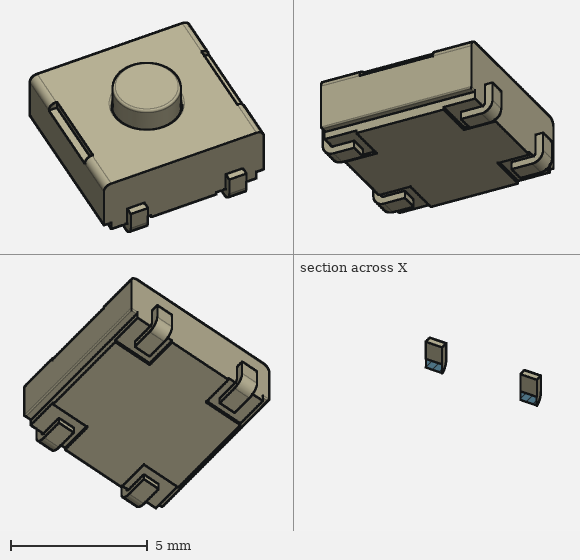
import cadquery as cq

TOTAL_X = 7.0
TOTAL_Y = 6.5
TOTAL_Z = 3.6
SHEET = 0.3

BODY_X = 6.2
BODY_Y = TOTAL_Y - 2 * SHEET
BODY_BOTTOM = 0.195
COVER_TOP = 2.7
COVER_BOTTOM = 0.6
BEND_RADIUS = SHEET
COVER_EDGE_RADIUS = 0.055

WINDOW_X = 3.0
FRONT_WINDOW_EXTRA = 0.03

RELIEF_X = 1.3
RELIEF_Y = 1.625

BUTTON_DIAMETER = 2.5
BUTTON_RADIUS = 0.1
HOLE_DIAMETER = 2.6
HOLE_EDGE_RADIUS = 0.08

LEAD_WIDTH = 0.7
LEAD_Y = 2.0
LEAD_TOP = 1.2
LEAD_FOOT = 1.3
LEAD_INNER_RADIUS = 0.15


def block(size_x, size_y, bottom, top):
    """Box centred on the Z axis between two heights."""
    return cq.Workplane("XY").workplane(offset=bottom).rect(size_x, size_y).extrude(top - bottom)


def make_housing():
    housing = block(BODY_X, BODY_Y, BODY_BOTTOM, COVER_TOP)
    reliefs = (
        cq.Workplane("XY")
        .workplane(offset=BODY_BOTTOM)
        .rect(BODY_X - RELIEF_X, BODY_Y - RELIEF_Y, forConstruction=True)
        .vertices()
        .rect(RELIEF_X, RELIEF_Y)
        .extrude(SHEET - BODY_BOTTOM)
    )
    return housing.cut(reliefs)


def make_cover():
    cover = block(BODY_X, TOTAL_Y, COVER_BOTTOM, COVER_TOP)
    cover = cover.edges("|X and >Z").fillet(BEND_RADIUS)
    return cover.faces("<Z").edges().fillet(COVER_EDGE_RADIUS)


def make_window(side, depth):
    """Cutter for the bend on one Y side, leaving a flat ledge one sheet below the top."""
    return (
        cq.Workplane("XY")
        .workplane(offset=COVER_TOP - SHEET)
        .center(0, side * (TOTAL_Y - depth) / 2)
        .rect(WINDOW_X, depth)
        .extrude(SHEET)
    )


def make_hole():
    """Round hole through the cover sheet with a rounded upper rim."""
    hole_radius = HOLE_DIAMETER / 2
    rim_radius = hole_radius + HOLE_EDGE_RADIUS
    return (
        cq.Workplane("XZ")
        .moveTo(0, COVER_TOP - SHEET)
        .lineTo(hole_radius, COVER_TOP - SHEET)
        .lineTo(hole_radius, COVER_TOP - HOLE_EDGE_RADIUS)
        .radiusArc((rim_radius, COVER_TOP), HOLE_EDGE_RADIUS)
        .lineTo(0, COVER_TOP)
        .close()
        .revolve(360, (0, 0), (0, 1))
    )


def make_button():
    button = (
        cq.Workplane("XY")
        .workplane(offset=COVER_TOP - SHEET)
        .circle(BUTTON_DIAMETER / 2)
        .extrude(TOTAL_Z - COVER_TOP + SHEET)
    )
    return button.faces(">Z").edges().fillet(BUTTON_RADIUS)


def make_lead(y_center):
    """J-shaped lead on the -X side: upright leg, bend and foot."""
    tip = -TOTAL_X / 2
    inner = tip + SHEET
    foot_end = tip + LEAD_FOOT
    outer_radius = LEAD_INNER_RADIUS + SHEET
    return (
        cq.Workplane("XZ", origin=(0, y_center + LEAD_WIDTH / 2, 0))
        .moveTo(tip, LEAD_TOP)
        .lineTo(tip, outer_radius)
        .radiusArc((tip + outer_radius, 0), -outer_radius)
        .lineTo(foot_end, 0)
        .lineTo(foot_end, SHEET)
        .lineTo(inner + LEAD_INNER_RADIUS, SHEET)
        .radiusArc((inner, SHEET + LEAD_INNER_RADIUS), LEAD_INNER_RADIUS)
        .lineTo(inner, LEAD_TOP)
        .close()
        .extrude(LEAD_WIDTH)
    )


result = make_housing().union(make_cover())
result = result.cut(make_window(-1, SHEET + FRONT_WINDOW_EXTRA))
result = result.cut(make_window(1, SHEET))
result = result.cut(make_hole()).union(make_button())

for lead_y in (-LEAD_Y, LEAD_Y):
    lead = make_lead(lead_y)
    result = result.union(lead).union(lead.mirror("YZ"))